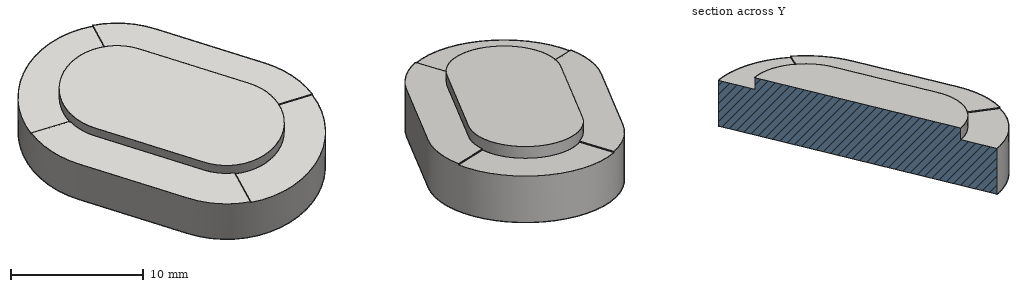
import cadquery as cq

length = 24.0
width = 15.0
height = 4.9

rim_width = 3.12
pad_length = length - 2 * rim_width
pad_width = width - 2 * rim_width

side_rim_height = 4.0
end_rim_drop = 0.1
seam_apex_x = 3.05


def oval(oval_length, oval_width, oval_height):
    """Solid oval along X, standing on the XY plane."""
    return cq.Workplane("XY").slot2D(oval_length, oval_width).extrude(oval_height)


def end_sector(side):
    """Shallow 45 degree wedge covering one end of the rim; side is -1 or +1."""
    reach = length / 2
    return (
        cq.Workplane("XY", origin=(0, 0, side_rim_height - end_rim_drop))
        .moveTo(side * seam_apex_x, 0)
        .lineTo(side * (seam_apex_x + reach), reach)
        .lineTo(side * (seam_apex_x + reach), -reach)
        .close()
        .extrude(end_rim_drop)
    )


body = oval(length, width, side_rim_height)
for side in (-1, 1):
    body = body.cut(end_sector(side))

pad = oval(pad_length, pad_width, height)
result = body.union(pad)